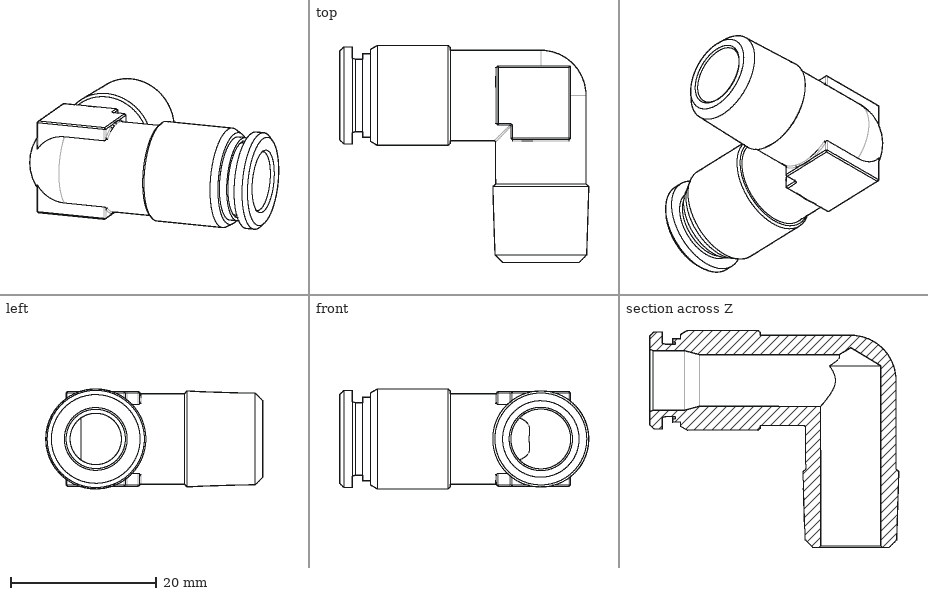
import cadquery as cq
import math

barrel_reach = 27.7
tail_reach = 23.0
body_radius = 6.25

flange_radius = 6.7
flange_chamfer = 0.6
flange_length = 1.75
neck_radius = 5.0
neck_flare = 0.15
neck_flare_end = 2.15
neck_end = 3.2
collar_radius = 5.77
collar_clearance_radius = 5.3
collar_clearance_depth = 0.35
collar_end = 4.25
barrel_radius = 6.9
barrel_front_chamfer = 0.55
barrel_front_chamfer_end = 5.22
barrel_end = 15.25
barrel_back_chamfer = 0.3

thread_start = 12.23
thread_lead_in = 0.3
thread_radius = 6.63
thread_taper_end = 21.95
thread_taper = 1 / 16
tail_chamfer = tail_reach - thread_taper_end

block_half_width = 4.1
block_reach = 6.05
block_half_height = 6.55
block_round = 0.2
blend = 0.2

tube_bore_radius = 4.1
tube_bore_depth = 4.8
bore_taper_end = 6.87
barrel_mouth_chamfer = 0.25
barrel_mouth_chamfer_depth = 0.48
through_bore_radius = 3.55
tail_bore_radius = 4.12
tail_mouth_chamfer = 0.25
tail_bore_end = 2.03
drill_point_angle = 118


snug = 0.05
notch_corner = cq.selectors.BoxSelector(
    (-block_half_width - snug, -block_half_width - snug, -block_half_height - snug),
    (-block_half_width + snug, -block_half_width + snug, block_half_height + snug),
    boundingbox=True,
)
leg_crease = cq.selectors.TypeSelector("ELLIPSE")


def turned_along_x(profile):
    """Revolve (x, radius) points about the X axis."""
    return cq.Workplane("XY").polyline(profile).close().revolve(360, (0, 0, 0), (1, 0, 0))


def turned_along_y(profile):
    """Revolve (radius, y) points about the Y axis."""
    return cq.Workplane("XY").polyline(profile).close().revolve(360, (0, 0, 0), (0, 1, 0))


def barrel_leg():
    stations = [
        (0, 0),
        (0, flange_radius - flange_chamfer),
        (flange_chamfer, flange_radius),
        (flange_length, flange_radius),
        (flange_length, neck_radius + neck_flare),
        (neck_flare_end, neck_radius),
        (neck_end + collar_clearance_depth, neck_radius),
        (neck_end + collar_clearance_depth, collar_clearance_radius),
        (neck_end, collar_clearance_radius),
        (neck_end, collar_radius),
        (collar_end, collar_radius),
        (collar_end, barrel_radius - barrel_front_chamfer),
        (barrel_front_chamfer_end, barrel_radius),
        (barrel_end - barrel_back_chamfer, barrel_radius),
        (barrel_end, barrel_radius - barrel_back_chamfer),
        (barrel_end, body_radius),
        (barrel_reach, body_radius),
        (barrel_reach, 0),
    ]
    return turned_along_x([(s - barrel_reach, r) for s, r in stations])


def tail_leg():
    full_start = thread_start + thread_lead_in
    small_radius = thread_radius - (thread_taper_end - full_start) * thread_taper / 2
    return turned_along_y([
        (0, 0),
        (body_radius, 0),
        (body_radius, -thread_start),
        (thread_radius, -full_start),
        (small_radius, -thread_taper_end),
        (small_radius - tail_chamfer, -tail_reach),
        (0, -tail_reach),
    ])


def wrench_block():
    near, far = block_half_width, block_reach
    outline = [(near, near), (-far, near), (-far, -near), (-near, -near), (-near, -far), (near, -far)]
    block = cq.Workplane("XY").polyline(outline).close().extrude(block_half_height, both=True)
    all_corners = cq.selectors.ParallelDirSelector(cq.Vector(0, 0, 1))
    return block.edges(all_corners - notch_corner).fillet(block_round)


def block_foot():
    """Concave blend between the barrel leg and the block wall facing it."""
    wall, toe = -block_reach, -block_reach - blend
    crest = body_radius + blend
    sag = blend * (1 - math.sqrt(0.5))
    ring = (
        cq.Workplane("XY")
        .moveTo(wall, 0)
        .lineTo(toe, 0)
        .lineTo(toe, body_radius)
        .threePointArc((wall - sag, body_radius + sag), (wall, crest))
        .close()
        .revolve(360, (0, 0, 0), (1, 0, 0))
    )
    foot_width = 2 * (block_half_width - block_round)
    return ring.intersect(cq.Workplane("XY").box(2 * body_radius, foot_width, 2 * crest))


def elbow_body():
    """Legs, corner and block, with the crease at the inside of the bend blended."""
    body = barrel_leg().union(tail_leg()).union(cq.Workplane("XY").sphere(body_radius))
    body = body.union(wrench_block())
    body = body.edges(notch_corner + leg_crease).fillet(blend)
    for flat in (">Z", "<Z"):
        body = body.faces(flat).edges().chamfer(block_round)
    barrel_foot = block_foot()
    tail_foot = barrel_foot.mirror(cq.Face.makePlane(0.35, 0.35, (0, 0, 0), (1, -1, 0)))
    return body.union(barrel_foot).union(tail_foot)


def barrel_bore():
    mouth_radius = tube_bore_radius + barrel_mouth_chamfer
    stations = [
        (0, 0),
        (0, mouth_radius),
        (barrel_mouth_chamfer_depth, tube_bore_radius),
        (tube_bore_depth, tube_bore_radius),
        (bore_taper_end, through_bore_radius),
        (barrel_reach, through_bore_radius),
        (barrel_reach, 0),
    ]
    return turned_along_x([(s - barrel_reach, r) for s, r in stations])


def tail_bore():
    point_length = tail_bore_radius / math.tan(math.radians(drill_point_angle / 2))
    return turned_along_y([
        (0, -tail_reach),
        (tail_bore_radius + tail_mouth_chamfer, -tail_reach),
        (tail_bore_radius, -tail_reach + tail_mouth_chamfer),
        (tail_bore_radius, tail_bore_end),
        (0, tail_bore_end + point_length),
    ])


result = elbow_body().cut(barrel_bore()).cut(tail_bore())